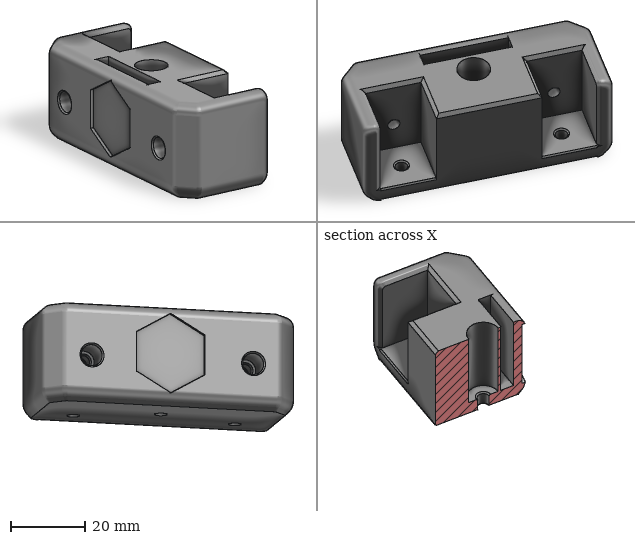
import cadquery as cq
import math

LENGTH, DEPTH, HEIGHT = 70.0, 28.0, 27.1
CORNER_CUT = 5.0
CORNER_RADIUS = 2.0
TOP_RADIUS = 3.0
BASE_CHAMFER = 2.2
BASE_RADIUS = 4.0

POCKET_INNER_X, POCKET_OUTER_X = 14.85, 30.4
POCKET_FRONT_Y = 13.1
FLOOR = 4.0
RIM_CHAMFER = 1.0
WING_RADIUS = 0.8
FLOOR_CHAMFER = 0.4

SCREW_D = 3.4
HEAD_D = 5.8
CENTRE_BORE_D = 9.0
HOLE_CHAMFER = 0.4
SCREW_X = 22.5
FRONT_SCREW_Z = 12.5
FLOOR_SCREW_Y = 20.45
CENTRE_BORE_Y = 13.0
HEAD_DEPTH = POCKET_FRONT_Y - FLOOR

SLOT_LENGTH = 24.85
SLOT_FRONT_Y, SLOT_BACK_Y = 3.7, 7.55

HEX_WIDTH = 19.0
HEX_X, HEX_Z = -0.55, 14.2
HEX_DEPTH = 1.0

PAST = 0.7


def block(x_range, y_range, z_range):
    """Rectangular block spanning the given ranges."""
    sizes = [end - start for start, end in (x_range, y_range, z_range)]
    corner = (x_range[0], y_range[0], z_range[0])
    return cq.Workplane("XY").box(*sizes, centered=False).translate(corner)


def both_sides(shape):
    """The shape together with its mirror image across X = 0."""
    return shape.union(shape.mirror("YZ"))


def edges_within(x_range, y_range, z_range):
    """Selector for edges whose middle lies inside the given ranges."""
    return cq.selectors.BoxSelector(*zip(x_range, y_range, z_range))


def outer_body():
    """Block with cut front corners, rounded top and bevelled base on all sides but the back."""
    half = LENGTH / 2
    body = (
        cq.Workplane("XY")
        .polyline([
            (-half, DEPTH),
            (-half, CORNER_CUT),
            (CORNER_CUT - half, 0),
            (half - CORNER_CUT, 0),
            (half, CORNER_CUT),
            (half, DEPTH),
        ])
        .close()
        .extrude(HEIGHT)
    )
    body = body.faces("<Z").edges("not >Y").chamfer(BASE_CHAMFER)
    body = body.faces(">Z").edges("not >Y").fillet(TOP_RADIUS)
    bevel_edges = edges_within(
        (-half - PAST, half + PAST),
        (-PAST, DEPTH - CORNER_RADIUS),
        (BASE_CHAMFER - PAST, BASE_CHAMFER + PAST),
    )
    body = body.edges(bevel_edges).edges("#Z").fillet(BASE_RADIUS)
    body = body.edges("|Z").edges("not >Y").fillet(CORNER_RADIUS)
    return body.edges("|Z").edges(">X or <X").edges(">Y").fillet(CORNER_RADIUS)


def cut_pockets(body):
    """Open the back, put the centre block into it and bevel the pocket rims."""
    opening = block(
        (-POCKET_OUTER_X, POCKET_OUTER_X),
        (POCKET_FRONT_Y, DEPTH + PAST),
        (FLOOR, HEIGHT + PAST),
    )
    centre_block = block(
        (-POCKET_INNER_X, POCKET_INNER_X),
        (POCKET_FRONT_Y - PAST, DEPTH),
        (FLOOR - PAST, HEIGHT),
    )
    body = body.cut(opening).union(centre_block)

    rim_x = POCKET_OUTER_X + PAST / 2
    at_top = (HEIGHT - PAST / 2, HEIGHT + PAST)
    centre_block_back = edges_within((-PAST, PAST), (DEPTH - PAST, DEPTH + PAST), at_top)
    rims = edges_within((-rim_x, rim_x), (POCKET_FRONT_Y - PAST, DEPTH - PAST), at_top)
    body = body.edges(rims + centre_block_back).chamfer(RIM_CHAMFER)

    wing_x = POCKET_OUTER_X + RIM_CHAMFER
    for side in (-1, 1):
        x_range = (side * wing_x - PAST / 4, side * wing_x + PAST / 4)
        wing_edge = edges_within(x_range, (POCKET_FRONT_Y + PAST, DEPTH - PAST), at_top)
        body = body.edges(wing_edge).fillet(WING_RADIUS)
    return body


def edge_bevel(x_range, edge_z):
    """Bar along X with a diamond section that bevels the back edge at height edge_z."""
    return (
        cq.Workplane("YZ", origin=(x_range[0], DEPTH, edge_z))
        .polyline([
            (-FLOOR_CHAMFER, 0),
            (0, -FLOOR_CHAMFER),
            (FLOOR_CHAMFER, 0),
            (0, FLOOR_CHAMFER),
        ])
        .close()
        .extrude(x_range[1] - x_range[0])
    )


def bevel_floor(body):
    """Bevel the upper back edge of each pocket floor and the lower back edge between the wings."""
    upper = edge_bevel((POCKET_INNER_X, POCKET_OUTER_X), FLOOR)
    lower = edge_bevel((-POCKET_OUTER_X, POCKET_OUTER_X), 0)
    return body.cut(both_sides(upper)).cut(lower)


def hole_with_lead_in(diameter, start, length):
    """Cutter along +Z from height start, with a cone widening its lower end."""
    radius = diameter / 2
    return (
        cq.Workplane("XZ")
        .polyline([
            (0, start),
            (radius + HOLE_CHAMFER, start),
            (radius, start + HOLE_CHAMFER),
            (radius, start + length),
            (0, start + length),
        ])
        .close()
        .revolve(360, (0, 0), (0, 1))
    )


def cut_holes(body):
    """Cut the counterbored front screws, the floor screws and the centre bore."""
    head = hole_with_lead_in(HEAD_D, 0, HEAD_DEPTH)
    shank = hole_with_lead_in(SCREW_D, HEAD_DEPTH, FLOOR + PAST)
    front_screw = head.union(shank).rotate((0, 0, 0), (1, 0, 0), -90)
    body = body.cut(both_sides(front_screw.translate((SCREW_X, 0, FRONT_SCREW_Z))))

    floor_screw = hole_with_lead_in(SCREW_D, 0, FLOOR + PAST)
    floor_screw = floor_screw.rotate((0, 0, 0), (1, 0, 0), 180)
    body = body.cut(both_sides(floor_screw.translate((SCREW_X, FLOOR_SCREW_Y, FLOOR))))

    centre_bore = cq.Workplane("XY").circle(CENTRE_BORE_D / 2).extrude(HEIGHT)
    body = body.cut(centre_bore.translate((0, CENTRE_BORE_Y, FLOOR)))
    return body.cut(floor_screw.translate((0, CENTRE_BORE_Y, FLOOR)))


def cut_slot(body):
    """Cut the slot in the top; the rounding of the front wall runs on over its lip."""
    half = SLOT_LENGTH / 2
    slot = block((-half, half), (SLOT_FRONT_Y, SLOT_BACK_Y), (FLOOR, HEIGHT + PAST))
    arc_centre_z = HEIGHT - TOP_RADIUS
    lip_gap = block((-half, half), (TOP_RADIUS, SLOT_FRONT_Y), (arc_centre_z, HEIGHT + PAST))
    lip = (
        cq.Workplane("YZ")
        .center(TOP_RADIUS, arc_centre_z)
        .circle(TOP_RADIUS)
        .extrude(half, both=True)
    )
    return body.cut(slot).cut(lip_gap.cut(lip))


def cut_hexagon(body):
    """Recess a hexagon standing on its point into the front face."""
    corner_circle_d = HEX_WIDTH / math.cos(math.pi / 6)
    hexagon = (
        cq.Workplane("XZ", origin=(HEX_X, 0, HEX_Z))
        .transformed(rotate=(0, 0, 90))
        .polygon(6, corner_circle_d)
        .extrude(-HEX_DEPTH)
    )
    return body.cut(hexagon)


result = cut_pockets(outer_body())
result = bevel_floor(result)
result = cut_holes(result)
result = cut_slot(result)
result = cut_hexagon(result)